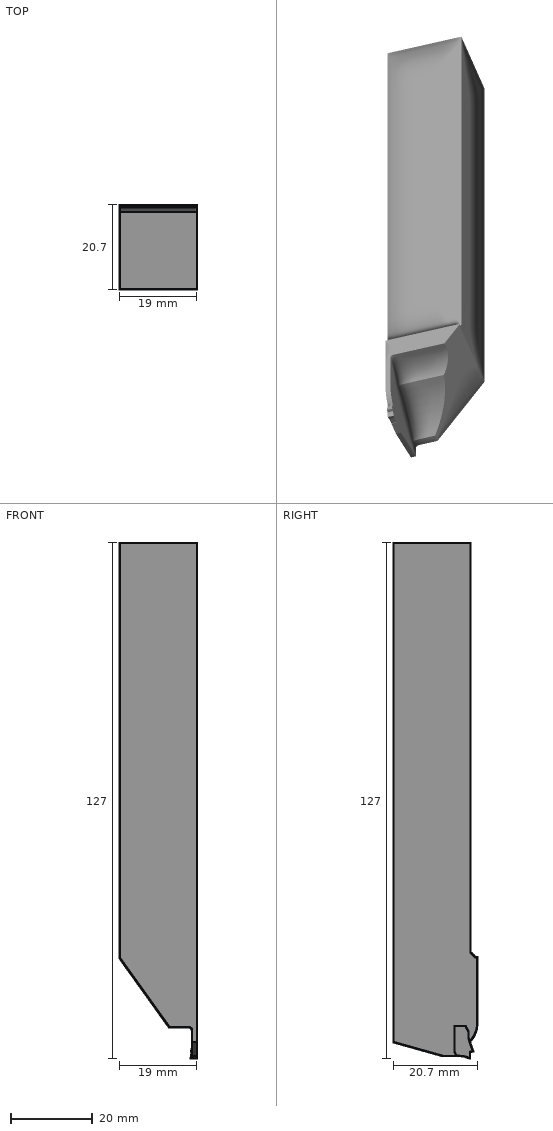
import cadquery as cq

LENGTH = 127.0
SHANK = 19.0
CUT_MARGIN = 2.5

HEAD_DEPTH = 20.7
HEAD_TOP = 25.0
NECK_CHAMFER = 1.1

TAIL_BOTTOM = 0.6
FRONT_BOTTOM = 4.1
RELIEF_START = 12.2
NOSE_TOP = 8.6
NOSE_MIDDLE = (20.2, 6.2)
NOSE_END = (18.8, 4.2)
SEAT_FLOOR_Y = 15.9

BLADE_THICKNESS = 1.3
BLADE_FACE = SHANK - BLADE_THICKNESS
STEP_FILLET = 0.9
STEP_FRONT_Z = 7.7
STEP_ARC_CENTER = (17.0, -1.1)
STEP_ARC_RADIUS = 17.5
STEP_NOSE_CENTER = (19.0, 13.2)
STEP_NOSE_RADIUS = 6.2

SLOPE_TOP = 24.8
SLOPE_X = 12.2

INSERT_RIGHT = 15.1
INSERT_TOP = 8.0
INSERT_CORNER = (17.8, INSERT_TOP)
INSERT_SHOULDER = (18.5, 6.6)
INSERT_SEAT_END = (18.5, 5.0)
UPPER_TIP = (19.7, 1.8)
TIP_NOTCH = (18.9, 1.7)
LOWER_TIP = (18.9, 0.0)
TIP_HEEL = (17.7, 0.5)
INSERT_BOTTOM = (15.5, 0.8)
INSERT_SIDE_END = 1.7
LIP_HEIGHT = 0.4
LIP_SLOPE = 4.0
LIP_UPPER = (19.3, 2.5)
LIP_LOWER = TIP_HEEL


def make_head_outline():
    """Side outline of the holder, extruded through its full width."""
    return (
        cq.Workplane("YZ")
        .moveTo(0, LENGTH)
        .lineTo(0, FRONT_BOTTOM)
        .lineTo(RELIEF_START, TAIL_BOTTOM)
        .lineTo(SEAT_FLOOR_Y, TAIL_BOTTOM)
        .lineTo(*NOSE_END)
        .threePointArc(NOSE_MIDDLE, (HEAD_DEPTH, NOSE_TOP))
        .lineTo(HEAD_DEPTH, HEAD_TOP)
        .lineTo(SHANK + NECK_CHAMFER, HEAD_TOP)
        .lineTo(SHANK, HEAD_TOP + NECK_CHAMFER)
        .lineTo(SHANK, LENGTH)
        .close()
        .extrude(SHANK)
    )


def make_slope_cut():
    """Wedge that removes the -X lower corner of the head."""
    return (
        cq.Workplane("XZ", origin=(0, HEAD_DEPTH + CUT_MARGIN, 0))
        .polyline([(0, SLOPE_TOP), (SLOPE_X, STEP_FRONT_Z), (SLOPE_X, 0), (0, 0)])
        .close()
        .extrude(HEAD_DEPTH + 2 * CUT_MARGIN)
    )


def round_end(sketch):
    """Extrude an outline up to the blade face and round its end edge there."""
    return sketch.extrude(BLADE_FACE).faces(">X").edges().fillet(STEP_FILLET)


def make_blade_cut():
    """Material beside the blade: a level front part, a wide arc and a small arc at the back."""
    level_part = round_end(
        cq.Workplane("YZ")
        .center(-CUT_MARGIN, -CUT_MARGIN)
        .rect(HEAD_DEPTH + 2 * CUT_MARGIN, STEP_FRONT_Z + CUT_MARGIN, centered=False)
    )
    wide_arc = round_end(cq.Workplane("YZ").center(*STEP_ARC_CENTER).circle(STEP_ARC_RADIUS))
    slot_length = 4 * STEP_NOSE_RADIUS
    back_arc = round_end(
        cq.Workplane("YZ")
        .center(*STEP_NOSE_CENTER)
        .center(slot_length / 2 - STEP_NOSE_RADIUS, 0)
        .slot2D(slot_length, 2 * STEP_NOSE_RADIUS)
    )
    return level_part.union(wide_arc).union(back_arc)


def make_insert_plate(face_x):
    """Insert outline extruded from face_x to the +X side."""
    return (
        cq.Workplane("YZ", origin=(face_x, 0, 0))
        .polyline([
            (INSERT_RIGHT, INSERT_TOP), INSERT_CORNER, INSERT_SHOULDER, INSERT_SEAT_END,
            UPPER_TIP, TIP_NOTCH, LOWER_TIP, TIP_HEEL, INSERT_BOTTOM,
            (INSERT_RIGHT, INSERT_SIDE_END),
        ])
        .close()
        .extrude(SHANK - face_x)
    )


def make_lip_trim():
    """Material above the blade face, ending in a slope that leaves the rising cutting lip."""
    lip_y = LIP_UPPER[0] - LIP_LOWER[0]
    lip_z = LIP_UPPER[1] - LIP_LOWER[1]
    reach = INSERT_TOP + CUT_MARGIN
    plane = cq.Plane(
        origin=(BLADE_FACE, *LIP_LOWER),
        xDir=(0, -lip_z, lip_y),
        normal=(0, -lip_y, -lip_z),
    )
    return (
        cq.Workplane(plane)
        .polyline([(0, 0), (reach, 0), (reach, CUT_MARGIN), (-CUT_MARGIN * LIP_SLOPE, CUT_MARGIN)])
        .close()
        .extrude(reach, both=True)
    )


holder = make_head_outline().cut(make_slope_cut()).cut(make_blade_cut())
holder = holder.cut(make_insert_plate(BLADE_FACE))
insert = make_insert_plate(BLADE_FACE - LIP_HEIGHT).cut(make_lip_trim())

result = cq.Compound.makeCompound([holder.val(), insert.val()])